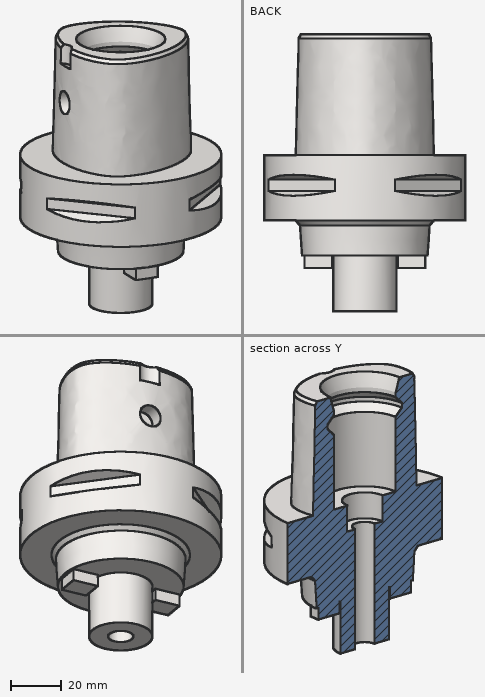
import cadquery as cq
import math


shank_length = 48.0
polygon_radius = 27.5
polygon_lobe = 2.0
outline_points = 48
shank_taper = 1 / 20
rim_chamfer_height = 1.6
rim_chamfer_inset = 0.9

flange_diameter = 80.0
flange_radius = flange_diameter / 2
flange_thickness = 26.0
groove_depth_below_face = 12.0
groove_floor_distance = 35.4
groove_angles = (45, 135, 225, 315)
groove_floor_height = 4.4
groove_mouth_height = 8.4

total_length = 110.0
neck_length = 14.0
neck_collar_height = 2.0
neck_root_diameter = 55.0
neck_top_diameter = 51.6
neck_end_diameter = 49.9
spigot_diameter = 25.2
key_width = 9.7
key_height = 5.0
key_inner_distance = 13.0
key_outer_distance = 24.0

mouth_radius = 17.7
bore_radius = 15.8
mouth_depth = 6.2
undercut_radius = 19.0
undercut_start = 8.0
undercut_end = 16.4
undercut_flank = undercut_radius - bore_radius
bore_depth = shank_length
counterbore_diameter = 18.0
counterbore_depth = 11.0
through_diameter = 10.0

slot_radius = 5.5
slot_depth = 8.0
pin_hole_diameter = 9.2
pin_hole_depth_below_rim = 23.1
pin_hole_floor_distance = 17.8

flange_bottom = -flange_thickness
neck_bottom = flange_bottom - neck_length
part_bottom = shank_length - total_length


def polygon_section(z, inset=0.0):
    """Constant-width outline at height z, drawn from its support function."""
    radius = polygon_radius - shank_taper / 2 * z - inset

    def outline_point(step):
        angle = 2 * math.pi * step / outline_points - math.pi / 2
        support = radius - polygon_lobe * math.sin(3 * angle)
        slope = -3 * polygon_lobe * math.cos(3 * angle)
        x = support * math.cos(angle) - slope * math.sin(angle)
        y = support * math.sin(angle) + slope * math.cos(angle)
        return cq.Vector(x, y, z)

    points = [outline_point(step) for step in range(outline_points)]
    return cq.Wire.assembleEdges([cq.Edge.makeSpline(points, periodic=True)])


def make_shank():
    """Ruled body from the flange face to the rim shoulder, then the rim chamfer."""
    sections = [
        polygon_section(0),
        polygon_section(shank_length - rim_chamfer_height),
        polygon_section(shank_length, rim_chamfer_inset),
    ]
    return cq.Workplane(cq.Solid.makeLoft(sections, True))


def make_turned_body():
    """Flange, two-step conical neck and spigot in one revolved profile."""
    neck_shoulder = flange_bottom - neck_collar_height
    profile = [
        (0, 0),
        (flange_radius, 0),
        (flange_radius, flange_bottom),
        (neck_root_diameter / 2, flange_bottom),
        (neck_top_diameter / 2, neck_shoulder),
        (neck_end_diameter / 2, neck_bottom),
        (spigot_diameter / 2, neck_bottom),
        (spigot_diameter / 2, part_bottom),
        (0, part_bottom),
    ]
    return cq.Workplane("XZ").polyline(profile).close().revolve(360, (0, 0), (0, 1))


def make_key(side):
    length = key_outer_distance - key_inner_distance
    middle = (key_outer_distance + key_inner_distance) / 2
    return (
        cq.Workplane("XY", origin=(side * middle, 0, neck_bottom))
        .rect(length, key_width)
        .extrude(-key_height)
    )


def make_groove(angle):
    """Straight groove across the flange edge, flaring outward from its flat floor."""
    depth = flange_radius - groove_floor_distance
    floor_half = groove_floor_height / 2
    mouth_half = groove_mouth_height / 2
    section = [
        (groove_floor_distance, -floor_half),
        (flange_radius, -mouth_half),
        (flange_radius + depth, -mouth_half),
        (flange_radius + depth, mouth_half),
        (flange_radius, mouth_half),
        (groove_floor_distance, floor_half),
    ]
    return (
        cq.Workplane("XZ", origin=(0, 0, -groove_depth_below_face))
        .polyline(section)
        .close()
        .extrude(flange_radius, both=True)
        .rotate((0, 0, 0), (0, 0, 1), angle)
    )


def make_bore():
    """Conical mouth, undercut, main bore, counterbore and through hole."""
    profile = [
        (0, 0),
        (mouth_radius, 0),
        (bore_radius, mouth_depth),
        (bore_radius, undercut_start),
        (undercut_radius, undercut_start + undercut_flank),
        (undercut_radius, undercut_end - undercut_flank),
        (bore_radius, undercut_end),
        (bore_radius, bore_depth),
        (counterbore_diameter / 2, bore_depth),
        (counterbore_diameter / 2, bore_depth + counterbore_depth),
        (through_diameter / 2, bore_depth + counterbore_depth),
        (through_diameter / 2, total_length),
        (0, total_length),
    ]
    outline = [(radius, shank_length - depth) for radius, depth in profile]
    return cq.Workplane("XZ").polyline(outline).close().revolve(360, (0, 0), (0, 1))


def make_rim_slot():
    return (
        cq.Workplane("XY", origin=(0, -polygon_radius, shank_length))
        .circle(slot_radius)
        .extrude(-slot_depth)
    )


def make_pin_hole():
    height = shank_length - pin_hole_depth_below_rim
    return (
        cq.Workplane("XZ", origin=(0, -pin_hole_floor_distance, height))
        .circle(pin_hole_diameter / 2)
        .extrude(polygon_radius)
    )


result = make_turned_body().union(make_shank())
for side in (-1, 1):
    result = result.union(make_key(side))
for angle in groove_angles:
    result = result.cut(make_groove(angle))
result = result.cut(make_bore()).cut(make_rim_slot()).cut(make_pin_hole())